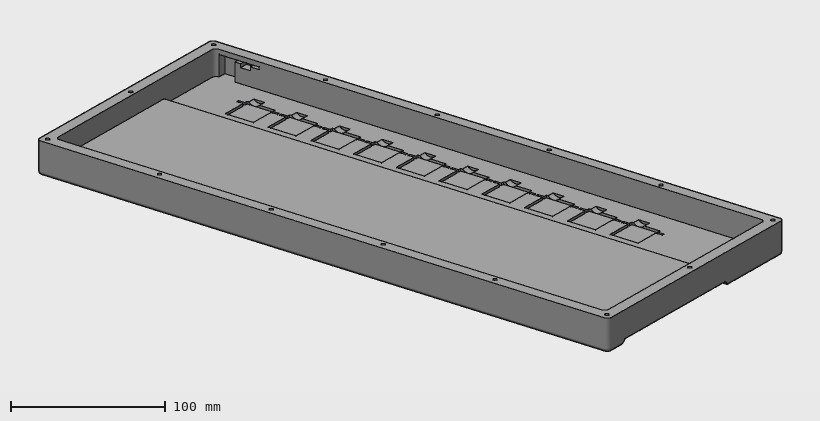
import cadquery as cq

LENGTH = 460.0
WIDTH = 190.0
HEIGHT = 25.0
WALL = 8.7
FLOOR = 5.0
EDGE_RADIUS = 2.8
CORNER_RADIUS = 3.0

STEP = 4.0
HOLLOW_BACK = 36.0
HOLLOW_FRONT = -81.0
RAISED_BACK = 35.5
RAISED_FRONT = -80.0

SCREW_DIAMETER = 2.8
SCREW_DEPTH = 14.0
SCREW_INSET = 5.0
SCREW_GAPS = 5

SERVO_COUNT = 10
SERVO_ROW_SPAN = 309.5
SERVO_ROW_X = -15.0
SERVO_DEPTH = 2.0
BODY_WIDTH = 22.5
BODY_FRONT = 43.5
BODY_BACK = 67.0
EAR_SPAN = 32.5
EAR_FRONT = 63.0
EAR_THICKNESS = 2.0
GEAR_RADIUS = 6.0
GEAR_LENGTH = 5.5
GEAR_OFFSET = -5.5

RECESS_DEPTH = 6.5
RECESS_TOP = 21.0
RECESS_LEFT = -218.0
SOCKET_RIGHT = -205.0
SLOT_RIGHT = -186.0
SLOT_HEIGHT = 2.0
NOTCH_LEFT = -200.5
NOTCH_RIGHT = -192.7
NOTCH_BOTTOM = 16.5


def box_between(x0, x1, y0, y1, z0, z1):
    """Axis-aligned box between two opposite corners."""
    return cq.Workplane("XY").box(x1 - x0, y1 - y0, z1 - z0, centered=False).translate((x0, y0, z0))


def ridge(front, back, base, length):
    """Bar along X with 45 degree flanks, one floor step high and standing on the height base."""
    return (
        cq.Workplane("YZ")
        .polyline([(front, base), (back, base), (back - STEP, base + STEP), (front + STEP, base + STEP)])
        .close()
        .extrude(length / 2, both=True)
    )


def tray():
    """Open tray with rounded edges and a raised floor."""
    outside = (
        cq.Workplane("XY")
        .box(LENGTH, WIDTH, HEIGHT, centered=(True, True, False))
        .edges("|Z")
        .fillet(CORNER_RADIUS)
        .faces("<Z")
        .edges()
        .fillet(EDGE_RADIUS)
    )
    inner_length = LENGTH - 2 * WALL
    inside = (
        cq.Workplane("XY", origin=(0, 0, FLOOR))
        .rect(inner_length, WIDTH - 2 * WALL)
        .extrude(HEIGHT)
        .edges("|Z")
        .fillet(CORNER_RADIUS)
        .cut(ridge(RAISED_FRONT, RAISED_BACK, FLOOR, inner_length))
    )
    hollow = ridge(HOLLOW_FRONT, HOLLOW_BACK, 0, LENGTH)
    return outside.cut(inside).cut(hollow)


def screw_holes():
    """Holes spaced evenly along both long rims, plus one midway along each short rim."""
    x_end = LENGTH / 2 - SCREW_INSET
    y_end = WIDTH / 2 - SCREW_INSET
    pitch = 2 * x_end / SCREW_GAPS
    points = [(-x_end, 0), (x_end, 0)]
    for i in range(SCREW_GAPS + 1):
        for y in (-y_end, y_end):
            points.append((-x_end + i * pitch, y))
    return (
        cq.Workplane("XY", origin=(0, 0, HEIGHT - SCREW_DEPTH))
        .pushPoints(points)
        .circle(SCREW_DIAMETER / 2)
        .extrude(SCREW_DEPTH)
    )


def servo_pocket(x):
    """Bed for one servo lying on its side: body, mounting ears and a round gear housing."""
    bottom = FLOOR - SERVO_DEPTH
    half_body = BODY_WIDTH / 2
    half_ears = EAR_SPAN / 2
    body = box_between(x - half_body, x + half_body, BODY_FRONT, BODY_BACK, bottom, FLOOR)
    ears = box_between(x - half_ears, x + half_ears, EAR_FRONT, EAR_FRONT + EAR_THICKNESS, bottom, FLOOR)
    gear = (
        cq.Workplane("XZ", origin=(x + GEAR_OFFSET, BODY_BACK, bottom + GEAR_RADIUS))
        .circle(GEAR_RADIUS)
        .extrude(-GEAR_LENGTH)
    )
    return body.union(ears).union(gear)


def connector_recess():
    """Tall socket, a thin slot beside it at the same top height, and a notch under the slot."""
    front = WIDTH / 2 - WALL
    back = front + RECESS_DEPTH
    slot_bottom = RECESS_TOP - SLOT_HEIGHT
    socket = box_between(RECESS_LEFT, SOCKET_RIGHT, front, back, FLOOR, RECESS_TOP)
    slot = box_between(RECESS_LEFT, SLOT_RIGHT, front, back, slot_bottom, RECESS_TOP)
    notch = box_between(NOTCH_LEFT, NOTCH_RIGHT, front, back, NOTCH_BOTTOM, slot_bottom)
    return socket.union(slot).union(notch)


result = tray().cut(screw_holes()).cut(connector_recess())
servo_pitch = SERVO_ROW_SPAN / (SERVO_COUNT - 1)
first_servo_x = SERVO_ROW_X - SERVO_ROW_SPAN / 2
for i in range(SERVO_COUNT):
    result = result.cut(servo_pocket(first_servo_x + i * servo_pitch))